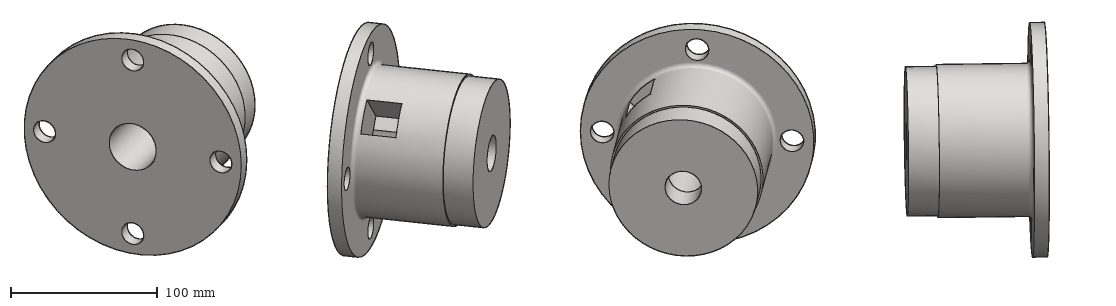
import cadquery as cq

flange_diameter = 160.0
flange_thickness = 10.0
bolt_circle_diameter = 130.0
bolt_hole_diameter = 16.0
bolt_count = 4

total_length = 95.0
hub_diameter = 104.5
hub_end = 74.0
nose_diameter = 102.0
root_fillet = 3.0

bore_diameter = 34.5
bore_depth = hub_end
through_diameter = 25.0

pocket_side = 24.6
pocket_start = 14.7
pocket_angle = 47.0
floor_break_in = 0.2


def cylinder(diameter, start, end):
    """Cylinder about the Y axis between two Y positions."""
    plane = cq.Plane(origin=(0, start, 0), xDir=(1, 0, 0), normal=(0, 1, 0))
    return cq.Workplane(plane).circle(diameter / 2).extrude(end - start)


def make_body():
    flange = cylinder(flange_diameter, 0, flange_thickness)
    hub = cylinder(hub_diameter, 0, hub_end)
    nose = cylinder(nose_diameter, hub_end, total_length)
    body = flange.union(hub).union(nose)
    inner_face = body.faces(cq.selectors.NearestToPointSelector((0, flange_thickness, 0)))
    return inner_face.edges(cq.selectors.RadiusNthSelector(0)).fillet(root_fillet)


def make_bolt_holes():
    holes = cq.Workplane("XY")
    for index in range(bolt_count):
        hole = cylinder(bolt_hole_diameter, 0, flange_thickness)
        hole = hole.translate((bolt_circle_diameter / 2, 0, 0))
        holes = holes.add(hole.rotate((0, 0, 0), (0, 1, 0), index * 360 / bolt_count))
    return holes.combine()


def make_pocket():
    floor_height = bore_diameter / 2 - floor_break_in
    pocket = cq.Workplane("XY").box(
        pocket_side, pocket_side, hub_diameter / 2, centered=(True, False, False)
    )
    pocket = pocket.translate((0, pocket_start, floor_height))
    return pocket.rotate((0, 0, 0), (0, 1, 0), pocket_angle)


bore = cylinder(bore_diameter, 0, bore_depth)
through_hole = cylinder(through_diameter, 0, total_length)

result = make_body().cut(bore).cut(through_hole).cut(make_bolt_holes()).cut(make_pocket())